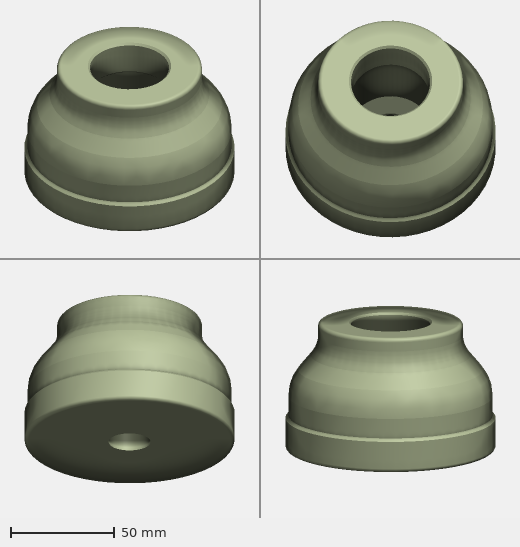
import cadquery as cq
import math

height = 62.9
base_radius = 50.8
base_bottom_fillet = 1.8
base_height = 16.0
base_top_chamfer = 0.6
shaft_hole_radius = 10.2
shaft_hole_chamfer = 0.3

body_radius = 49.4
neck_radius = 35.1
body_arc_start = 26.4
body_arc_radius = 20.3
neck_arc_radius = 15.2
flank_angle = 40.0
neck_top_fillet = 1.9

bore_radius = 19.1
bore_chamfer = 1.0
bore_depth = 16.1
cavity_radius = bore_radius + bore_chamfer

seat_radius = base_radius - base_top_chamfer
foot_flare = seat_radius - body_radius


def revolve_profile(profile):
    """Turn a closed (radius, height) profile drawn on XZ around the Z axis."""
    return profile.close().revolve(360, (0, 0, 0), (0, 1, 0))


def arc_point(center, radius, angle):
    """Point on an arc; the angle in degrees is measured from the radial direction."""
    turn = math.radians(angle)
    return (center[0] + radius * math.cos(turn), center[1] + radius * math.sin(turn))


def make_base():
    """Base disc with a chamfered rim and a chamfered shaft hole."""
    base = revolve_profile(
        cq.Workplane("XZ")
        .moveTo(shaft_hole_radius, 0)
        .lineTo(base_radius, 0)
        .lineTo(base_radius, base_height - base_top_chamfer)
        .lineTo(seat_radius, base_height)
        .lineTo(shaft_hole_radius + shaft_hole_chamfer, base_height)
        .lineTo(shaft_hole_radius, base_height - shaft_hole_chamfer)
    )
    outer_bottom_edge = cq.selectors.RadiusNthSelector(-1)
    return base.faces("<Z").edges(outer_bottom_edge).fillet(base_bottom_fillet)


def make_housing():
    """Bell-shaped housing with a flared foot and a chamfered bore opening into a wider cavity."""
    body_center = (body_radius - body_arc_radius, body_arc_start)
    body_middle = arc_point(body_center, body_arc_radius, flank_angle / 2)
    flank_bottom = arc_point(body_center, body_arc_radius, flank_angle)

    neck_center_radius = neck_radius + neck_arc_radius
    flank_top_radius = neck_center_radius - neck_arc_radius * math.cos(math.radians(flank_angle))
    flank_rise = (flank_bottom[0] - flank_top_radius) / math.tan(math.radians(flank_angle))
    flank_top = (flank_top_radius, flank_bottom[1] + flank_rise)
    neck_arc_top = flank_top[1] + neck_arc_radius * math.sin(math.radians(flank_angle))
    neck_center = (neck_center_radius, neck_arc_top)
    neck_middle = arc_point(neck_center, neck_arc_radius, 180 + flank_angle / 2)

    bore_bottom = height - bore_depth
    housing = revolve_profile(
        cq.Workplane("XZ")
        .moveTo(cavity_radius, base_height)
        .lineTo(seat_radius, base_height)
        .lineTo(body_radius, base_height + foot_flare)
        .lineTo(body_radius, body_arc_start)
        .threePointArc(body_middle, flank_bottom)
        .lineTo(*flank_top)
        .threePointArc(neck_middle, (neck_radius, neck_arc_top))
        .lineTo(neck_radius, height)
        .lineTo(bore_radius + bore_chamfer, height)
        .lineTo(bore_radius, height - bore_chamfer)
        .lineTo(bore_radius, bore_bottom)
        .lineTo(cavity_radius, bore_bottom - bore_chamfer)
    )
    outer_top_edge = cq.selectors.RadiusNthSelector(-1)
    return housing.faces(">Z").edges(outer_top_edge).fillet(neck_top_fillet)


base = make_base()
housing = make_housing()

result = cq.Compound.makeCompound([base.val(), housing.val()])